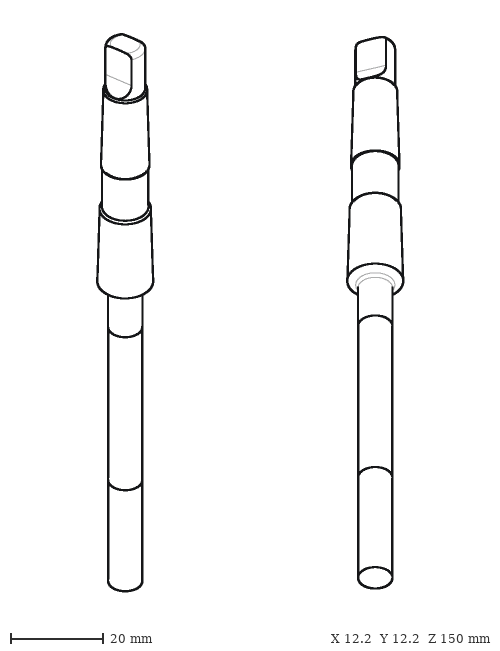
import cadquery as cq
import math

overall_length = 150.0

drill_diameter = 7.5
back_taper_diameter = 7.46
point_angle = 118.0
tip_length = 30.0
drill_length = 72.0

shank_length = 65.5
shank_large_diameter = 12.21
taper_ratio = 0.04988
relief_diameter = 10.1
relief_top_depth = 33.5
relief_bottom_depth = 45.0
shoulder_depth = 12.5
collar_angle = 30.0
collar_fillet_radius = 1.0

tang_diameter = 8.7
tang_thickness = 5.2
tang_flat_length = 8.6
tang_run_out_radius = 5.0
tang_corner_radius = 1.1
tang_end_rise = 0.4

drill_radius = drill_diameter / 2
back_taper_radius = back_taper_diameter / 2
point_height = drill_radius / math.tan(math.radians(point_angle / 2))
shank_radius = shank_large_diameter / 2
relief_radius = relief_diameter / 2
tang_radius = tang_diameter / 2
shank_bottom = overall_length - shank_length
relief_bottom = overall_length - relief_bottom_depth
relief_top = overall_length - relief_top_depth
shoulder_top = overall_length - shoulder_depth


def taper_radius(z):
    """Radius of the Morse taper at height z."""
    return shank_radius - (z - shank_bottom) * taper_ratio / 2


def bevel_below(radius, z):
    """Point (r, z) where a 45 degree bevel, widening downward from (radius, z), meets the taper."""
    drop = (taper_radius(z) - radius) / (1 - taper_ratio / 2)
    return radius + drop, z - drop


def revolve_profile(profile):
    """Revolve a closed (r, z) profile about the tool axis."""
    return profile.close().revolve(360, (0, 0, 0), (0, 1, 0))


def make_drill():
    profile = (
        cq.Workplane("XZ")
        .lineTo(drill_radius, point_height)
        .lineTo(back_taper_radius, tip_length)
        .lineTo(drill_radius, tip_length)
        .lineTo(back_taper_radius, drill_length)
        .lineTo(0, drill_length)
    )
    return revolve_profile(profile)


def make_shank_blank():
    slope = math.radians(collar_angle)
    collar_corner = shank_bottom - (shank_radius - drill_radius) * math.tan(slope)
    tangent = collar_fillet_radius * math.tan((math.pi / 2 - slope) / 2)
    fillet_top_radius = drill_radius + tangent * math.cos(slope)
    fillet_top = collar_corner + tangent * math.sin(slope)
    rim_top = overall_length - tang_end_rise
    rim_bottom = rim_top - tang_corner_radius
    end_radius = tang_radius - tang_corner_radius

    profile = (
        cq.Workplane("XZ")
        .moveTo(0, drill_length)
        .lineTo(drill_radius, drill_length)
        .lineTo(drill_radius, collar_corner - tangent)
        .radiusArc((fillet_top_radius, fillet_top), collar_fillet_radius)
        .lineTo(shank_radius, shank_bottom)
        .lineTo(*bevel_below(relief_radius, relief_bottom))
        .lineTo(relief_radius, relief_bottom)
        .lineTo(relief_radius, relief_top)
        .lineTo(taper_radius(relief_top), relief_top)
        .lineTo(*bevel_below(tang_radius, shoulder_top))
        .lineTo(tang_radius, shoulder_top)
        .lineTo(tang_radius, rim_bottom)
        .radiusArc((end_radius, rim_top), -tang_corner_radius)
        .lineTo(0, overall_length)
    )
    return revolve_profile(profile)


def make_tang_cutter():
    """Material removed on the +Y side: a flat that runs out through a concave arc."""
    flat = tang_thickness / 2
    flat_bottom = overall_length - tang_flat_length
    outer = flat + tang_run_out_radius
    return (
        cq.Workplane("YZ")
        .moveTo(flat, overall_length)
        .lineTo(flat, flat_bottom)
        .radiusArc((outer, flat_bottom - tang_run_out_radius), -tang_run_out_radius)
        .lineTo(outer, overall_length)
        .close()
        .extrude(tang_radius, both=True)
    )


def make_shank():
    cutter = make_tang_cutter()
    return make_shank_blank().cut(cutter).cut(cutter.mirror("XZ"))


drill = make_drill()
shank = make_shank()
result = cq.Compound.makeCompound([drill.val(), shank.val()])